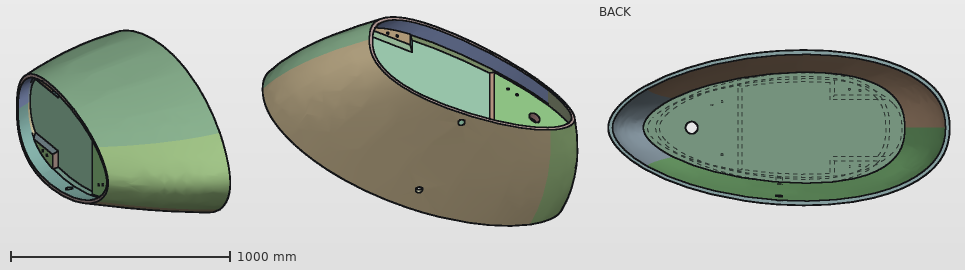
import cadquery as cq
import math

length = 1560.0
base_y = -280.0
crest_y = -base_y
height = crest_y - base_y

head_base = 504.0
head_crest = 785.0
foot_base = 563.0
foot_crest = 782.0
half_width_base = 252.0
half_width_crest = 355.0
widest_x = -106.0
head_bow = 1.7
foot_bow = 1.85
head_bluntness_base = 2.5
head_bluntness_crest = 2.25
foot_bluntness_base = 1.8
foot_bluntness_crest = 1.85
section_count = 4
nose_angle = math.radians(34)
side_spans = 8

wall = 20.0
floor_top_y = -165.0
rim_drop = 47.0

lip = 17.0
recess_y = -189.0
recess_draft = 10.0
cove = 17.0
plate_y = -200.0
plate_start_x = 187.0
plate_step_run = 17.0

pad_y = -209.0
pad_x = -232.0
pad_inner_z = 130.0
pad_bevel = recess_y - pad_y

drain_x = 398.0
drain_diameter = 55.0
pilot_diameter = 10.0
pilot_depth = 10.0
pad_pilots = [(-368.0, 172.0), (-320.0, 176.0)]
plate_pilots = [(260.0, 122.0), (307.0, 106.0)]
side_hole_x = 0.0
side_hole_diameter = 31.0
inlet_y = -234.0
overflow_y = 172.0


def egg_wire(y, head, foot, half_width, head_bluntness, foot_bluntness):
    """Closed egg outline at height y: two long sides that meet at the head tip, and a nose."""
    foot_reach = foot - widest_x
    foot_power = 2 / foot_bluntness

    def egg_point(angle):
        cosine = math.cos(angle)
        at_head = cosine < 0
        reach = head + widest_x if at_head else foot_reach
        power = 2 / head_bluntness if at_head else foot_power
        x = widest_x + math.copysign(reach * abs(cosine) ** power, cosine)
        return cq.Vector(x, y, half_width * math.sin(angle) ** power)

    def mirrored(vector):
        return cq.Vector(vector.x, vector.y, -vector.z)

    step = (math.pi - nose_angle) / side_spans
    side = [egg_point(math.pi - i * step) for i in range(1, side_spans + 1)]
    side.insert(0, cq.Vector(-head, y, 0))
    seam = side[-1]

    head_direction = cq.Vector(0, 0, 1)
    nose_direction = cq.Vector(
        foot_reach * math.sin(nose_angle) * math.cos(nose_angle) ** (foot_power - 1),
        0,
        -half_width * math.cos(nose_angle) * math.sin(nose_angle) ** (foot_power - 1),
    ).normalized()
    return_direction = mirrored(nose_direction) * -1

    upper_side = cq.Edge.makeSpline(side, [head_direction, nose_direction], scale=False)
    nose = cq.Edge.makeSpline(
        [seam, cq.Vector(foot, y, 0), mirrored(seam)],
        [nose_direction, return_direction],
        scale=False,
    )
    lower_side = cq.Edge.makeSpline(
        [mirrored(point) for point in reversed(side)],
        [return_direction, head_direction],
        scale=False,
    )
    return cq.Wire.assembleEdges([upper_side, nose, lower_side])


def loft_solid(wires, ruled=False):
    """Loft that joins each edge to its namesake in the next section."""
    return cq.Workplane(cq.occ_impl.shapes.loft(wires, cap=True, ruled=ruled, compat=False))


def body_wire(y, inset=0.0, narrowing=0.0):
    """Section of the outer skin at height y, moved inward by inset and narrowed across Z."""
    rise = (y - base_y) / height

    def blend(base, crest):
        return base + (crest - base) * rise

    head = head_crest - (head_crest - head_base) * (1 - rise) ** head_bow
    foot = foot_crest - (foot_crest - foot_base) * (1 - rise) ** foot_bow
    half_width = blend(half_width_base, half_width_crest)
    return egg_wire(
        y,
        head - inset,
        foot - inset,
        half_width - inset - narrowing,
        blend(head_bluntness_base, head_bluntness_crest),
        blend(foot_bluntness_base, foot_bluntness_crest),
    )


def skin_solid(start_y, inset=0.0):
    """Smooth loft that follows the outer skin from start_y up to the crest."""
    step = (crest_y - start_y) / (section_count - 1)
    wires = [body_wire(start_y + i * step, inset) for i in range(section_count)]
    return loft_solid(wires)


def cylinder(point, direction, diameter, depth):
    return cq.Workplane(cq.Solid.makeCylinder(diameter / 2, depth, cq.Vector(*point), cq.Vector(*direction)))


def rim_cutter():
    """Everything above the rim arc, which falls from the crest to both ends."""
    end_x = length / 2
    end_y = crest_y - rim_drop
    return (
        cq.Workplane("XY", origin=(0, 0, -length / 2))
        .moveTo(-end_x, end_y)
        .threePointArc((0, crest_y), (end_x, end_y))
        .lineTo(length, end_y)
        .lineTo(length, height)
        .lineTo(-length, height)
        .lineTo(-length, end_y)
        .close()
        .extrude(length)
    )


def foot_pad():
    """Pad hanging from the recess roof, its two exposed sides bevelled."""
    def corner_outline(y, setback):
        return [
            cq.Vector(pad_x - setback, y, pad_inner_z + setback),
            cq.Vector(pad_x - setback, y, length / 2),
            cq.Vector(-length / 2, y, length / 2),
            cq.Vector(-length / 2, y, pad_inner_z + setback),
        ]

    wires = [
        cq.Wire.makePolygon(corner_outline(recess_y, 0), close=True),
        cq.Wire.makePolygon(corner_outline(pad_y, pad_bevel), close=True),
    ]
    return loft_solid(wires, ruled=True)


def underside_recess():
    """Recess inside the base lip with coved sides, a lower drain plate and two foot pads."""
    wall_rise = recess_y - cove - base_y
    skin_lean = (half_width_crest - half_width_base) * wall_rise / height
    cove_wire = body_wire(recess_y - cove, lip, recess_draft + skin_lean)
    roof_wire = body_wire(recess_y, lip, recess_draft + skin_lean + cove)
    recess = loft_solid([body_wire(base_y, lip), cove_wire], ruled=True)
    recess = recess.union(loft_solid([cove_wire, roof_wire], ruled=True))

    plate = (
        cq.Workplane("XY", origin=(0, 0, -length / 2))
        .moveTo(plate_start_x - plate_step_run, recess_y)
        .lineTo(plate_start_x, plate_y)
        .lineTo(length, plate_y)
        .lineTo(length, recess_y)
        .close()
        .extrude(length)
    )
    recess = recess.cut(plate)

    pad = foot_pad()
    return recess.cut(pad).cut(pad.mirror("XY"))


body = skin_solid(base_y).cut(rim_cutter())
body = body.cut(skin_solid(floor_top_y, wall))
body = body.cut(underside_recess())

body = body.cut(cylinder((drain_x, base_y, 0), (0, 1, 0), drain_diameter, height))

for roof_y, places in ((pad_y, pad_pilots), (plate_y, plate_pilots)):
    for x, z in places:
        for side_z in (-z, z):
            body = body.cut(cylinder((x, roof_y, side_z), (0, 1, 0), pilot_diameter, pilot_depth))

for y in (inlet_y, overflow_y):
    body = body.cut(cylinder((side_hole_x, y, 0), (0, 0, -1), side_hole_diameter, length / 2))

result = body